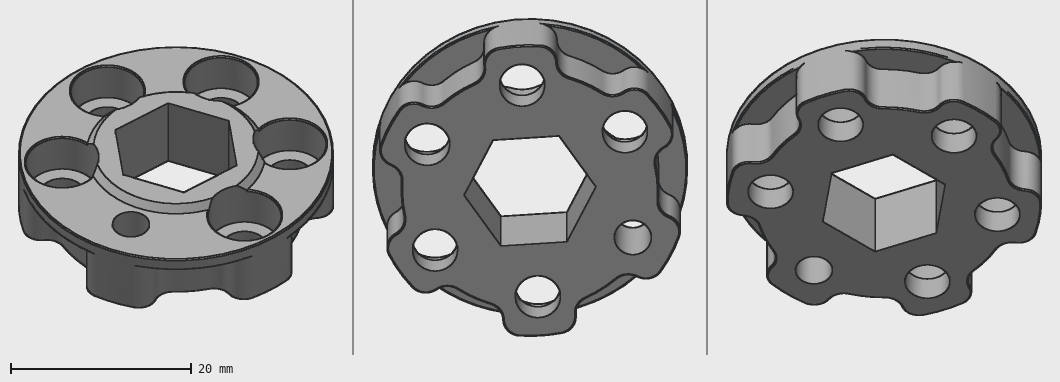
import math

import cadquery as cq

body_height = 6.35
rim_thickness = 1.5875
hub_height = 0.79375
rim_top = body_height + rim_thickness
hub_top = rim_top + hub_height

outer_radius = 34.925 / 2
valley_depth = 3.175
valley_radius = outer_radius - valley_depth
lobe_half_width = 4.06
lobe_fillet = 2.0
hub_base_radius = 9.95
hub_chamfer = 0.8
edge_chamfer = 0.15

hex_across_flats = 12.7
hex_sides = 6
bolt_circle_radius = 12.7
bolt_hole_diameter = 5.0
counterbore_diameter = 8.1
counterbore_depth = 4.7625
counterbore_chamfer = 0.15
pin_hole_diameter = 4.1

station_count = 6
station_pitch = 360 / station_count
station_angles = [(i + 0.5) * station_pitch for i in range(station_count)]
pin_angle = 270
bolt_angles = [angle for angle in station_angles if angle != pin_angle]


def polar(radius, angle):
    """XY point at a radius and an angle in degrees."""
    radians = math.radians(angle)
    return (radius * math.cos(radians), radius * math.sin(radians))


def make_lobed_body():
    """Parallel-sided lobes joined by valley arcs, with rounded corners."""
    tip_half_angle = math.degrees(math.asin(lobe_half_width / outer_radius))
    root_half_angle = math.degrees(math.asin(lobe_half_width / valley_radius))
    outline = cq.Workplane("XY").moveTo(*polar(valley_radius, station_angles[0] - root_half_angle))
    for angle in station_angles:
        outline = outline.lineTo(*polar(outer_radius, angle - tip_half_angle))
        outline = outline.threePointArc(
            polar(outer_radius, angle),
            polar(outer_radius, angle + tip_half_angle),
        )
        outline = outline.lineTo(*polar(valley_radius, angle + root_half_angle))
        outline = outline.threePointArc(
            polar(valley_radius, angle + station_pitch / 2),
            polar(valley_radius, angle + station_pitch - root_half_angle),
        )
    body = outline.close().extrude(body_height + edge_chamfer)
    body = body.edges("|Z").fillet(lobe_fillet)
    return body.faces("<Z").edges().chamfer(edge_chamfer)


def make_rim():
    """Round flange with both edges chamfered."""
    rim = cq.Workplane("XY").workplane(offset=body_height).circle(outer_radius).extrude(rim_thickness)
    return rim.edges().chamfer(edge_chamfer)


def make_hub():
    """Raised hub with a conical flank, sunk into the rim by the depth of the counterbore chamfer."""
    hub = cq.Workplane("XY").workplane(offset=rim_top).circle(hub_base_radius)
    hub = hub.workplane(offset=hub_height).circle(hub_base_radius - hub_chamfer).loft()
    seat = cq.Workplane("XY").workplane(offset=rim_top).circle(hub_base_radius).extrude(-counterbore_chamfer)
    return hub.union(seat)


def make_hex_bore():
    """Hexagonal through bore with two flats parallel to X."""
    across_corners = hex_across_flats / math.cos(math.pi / hex_sides)
    return cq.Workplane("XY").polygon(hex_sides, across_corners).extrude(hub_top)


def make_counterbore_chamfer(angle):
    """Cone that breaks the counterbore edge on the rim face."""
    center = polar(bolt_circle_radius, angle)
    bore_radius = counterbore_diameter / 2
    cone = cq.Workplane("XY").workplane(offset=rim_top).center(*center)
    cone = cone.circle(bore_radius + counterbore_chamfer)
    return cone.workplane(offset=-counterbore_chamfer).circle(bore_radius).loft()


def make_bolt_hole(angle):
    """Through hole with a counterbore that also cuts clear through the hub."""
    center = polar(bolt_circle_radius, angle)
    hole = cq.Workplane("XY").center(*center).circle(bolt_hole_diameter / 2).extrude(hub_top)
    bore = cq.Workplane("XY").workplane(offset=rim_top - counterbore_depth).center(*center)
    bore = bore.circle(counterbore_diameter / 2).extrude(counterbore_depth + hub_height)
    return hole.union(bore)


def make_pin_hole():
    """Plain through hole at the remaining station."""
    center = polar(bolt_circle_radius, pin_angle)
    return cq.Workplane("XY").center(*center).circle(pin_hole_diameter / 2).extrude(hub_top)


result = make_lobed_body().union(make_rim())
for bolt_angle in bolt_angles:
    result = result.cut(make_counterbore_chamfer(bolt_angle))
result = result.union(make_hub())
for bolt_angle in bolt_angles:
    result = result.cut(make_bolt_hole(bolt_angle))
result = result.cut(make_hex_bore()).cut(make_pin_hole())